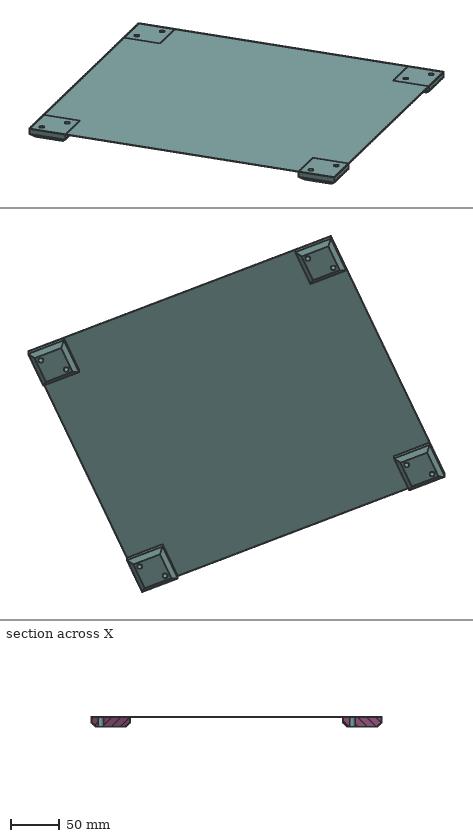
import cadquery as cq

plate_length = 340.0
plate_width = 300.0
plate_thickness = 0.6
overall_height = 10.5

foot_side = 40.0
foot_straight_height = 5.5
foot_taper_inset = 5.0
foot_height = overall_height - plate_thickness
foot_taper_height = foot_height - foot_straight_height

hole_diameter = 5.0
hole_offset = foot_side / 4


def make_plate():
    """Plain sheet resting on the plane Z = 0."""
    return cq.Workplane("XY").box(
        plate_length, plate_width, plate_thickness, centered=(True, True, False)
    )


def make_foot(center_x, center_y):
    """Foot hanging below Z = 0: a straight block, a tapered base and two holes."""
    bottom_side = foot_side - 2 * foot_taper_inset
    block = (
        cq.Workplane("XY")
        .rect(foot_side, foot_side)
        .extrude(-foot_straight_height)
    )
    base = (
        cq.Workplane("XY", origin=(0, 0, -foot_height))
        .rect(bottom_side, bottom_side)
        .workplane(offset=foot_taper_height)
        .rect(foot_side, foot_side)
        .loft(ruled=True)
    )
    holes = (
        cq.Workplane("XY")
        .pushPoints([(-hole_offset, -hole_offset), (hole_offset, hole_offset)])
        .circle(hole_diameter / 2)
        .extrude(-foot_height)
    )
    return block.union(base).cut(holes).translate((center_x, center_y, 0))


plate = make_plate()

foot_center_x = (plate_length - foot_side) / 2
foot_center_y = (plate_width - foot_side) / 2
feet = [
    make_foot(side_x * foot_center_x, side_y * foot_center_y)
    for side_x in (-1, 1)
    for side_y in (-1, 1)
]

result = cq.Compound.makeCompound([plate.val(), *[foot.val() for foot in feet]])